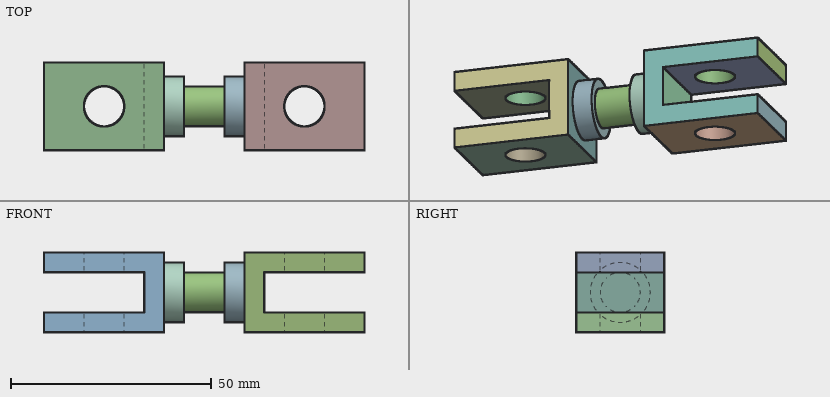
import cadquery as cq

length = 80.0
width = 22.0
height = 20.0

fork_length = 30.0
slot_height = height / 2
wall = (height - slot_height) / 2
pin_hole_diameter = 10.0

shaft_diameter = 10.0
collar_diameter = 1.5 * shaft_diameter
collar_length = wall
shaft_length = length - 2 * fork_length


def make_fork(side):
    """Fork opening outward along X; side is -1 or +1."""
    fork_center = side * (length - fork_length) / 2
    slot_length = fork_length - wall
    slot_center = side * (length - slot_length) / 2
    block = cq.Workplane("XY").box(fork_length, width, height).translate((fork_center, 0, 0))
    slot = cq.Workplane("XY").box(slot_length, width, slot_height).translate((slot_center, 0, 0))
    pin_hole = cq.Workplane("XY").center(fork_center, 0).circle(pin_hole_diameter / 2).extrude(height, both=True)
    return block.cut(slot).cut(pin_hole)


def make_rod(diameter, rod_length, center_x):
    """Cylinder along X, centered at center_x."""
    rod = cq.Workplane("YZ").circle(diameter / 2).extrude(rod_length / 2, both=True)
    return rod.translate((center_x, 0, 0))


result = make_rod(shaft_diameter, shaft_length, 0)
for side in (-1, 1):
    collar_center = side * (shaft_length - collar_length) / 2
    result = result.union(make_rod(collar_diameter, collar_length, collar_center))
    result = result.union(make_fork(side))